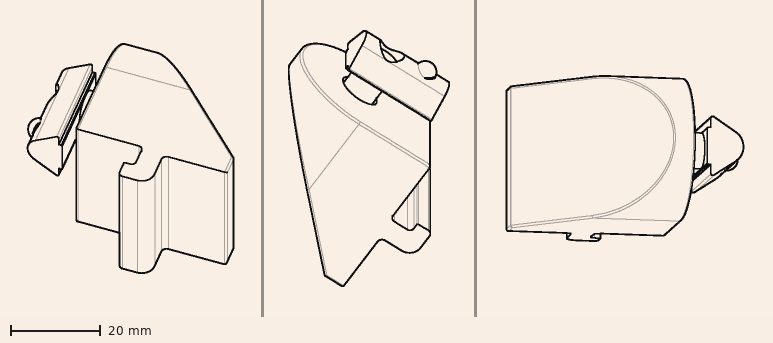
import cadquery as cq
import math


overall_length = 50.6
overall_width = 44.8
bracket_length = 36.0
bracket_height = 32.0
back_radius = bracket_height / 2
flat_top_length = 4.85
clamp_side_y = -19.2
outer_side_y = -20.05
edge_radius = 0.5
slope_end_y = back_radius - (bracket_length - flat_top_length)

hook_tip_x = 13.5
neck_start_x = 16.0
neck_end_x = 21.05
hook_ledge_y = -24.85
hook_bottom_y = back_radius - overall_width
hook_outer_radius = 3.05
hook_root_radius = 1.0
outer_root_radius = 1.2
hook_tip_radius = 1.0
hook_ledge_radius = 0.25
hook_root_overlap = 2.55

nut_front_x = -12.7
nut_shoulder_x = -5.25
nut_back_x = -4.45
nut_top_y = 6.95
nut_bottom_y = -15.5
nose_radius = 4.0
nose_half_angle = math.radians(56.6)
shoulder_tip_radius = 0.4
boss_half_height = 4.2
boss_chamfer = 0.2

ball_radius = 2.55
ball_x = bracket_length - overall_length + ball_radius
ball_y = -9.4

shank_diameter = 8.0
tip_diameter = 6.65
screw_tip_x = -10.0
clearance_diameter = 9.2
screw_seat_depth = 5.05


def x_cylinder(diameter, start_x, end_x):
    """A round bar on the screw axis."""
    return cq.Workplane("YZ").workplane(offset=start_x).circle(diameter / 2).extrude(end_x - start_x)


def make_wedge():
    half_height = bracket_height / 2
    plan = (
        cq.Workplane("XY").workplane(offset=-half_height)
        .moveTo(0, clamp_side_y)
        .lineTo(0, back_radius)
        .lineTo(flat_top_length, back_radius)
        .lineTo(bracket_length, slope_end_y)
        .lineTo(bracket_length, outer_side_y)
        .lineTo(neck_end_x, outer_side_y)
        .lineTo(neck_end_x, clamp_side_y)
        .close()
        .extrude(bracket_height)
    )
    round_back = (
        cq.Workplane("YZ")
        .moveTo(outer_side_y, -half_height)
        .lineTo(0, -half_height)
        .threePointArc((back_radius, 0), (0, half_height))
        .lineTo(outer_side_y, half_height)
        .close()
        .extrude(bracket_length)
    )
    wedge = plan.intersect(round_back)
    slope_direction = cq.Vector(1, 1, 0)
    return (
        wedge.faces("<X or >X").edges()
        .add(wedge.faces(cq.selectors.DirectionMinMaxSelector(slope_direction, True)).edges())
        .fillet(edge_radius)
    )


def make_hook():
    hook = (
        cq.Workplane("XY").workplane(offset=-bracket_height / 2)
        .moveTo(neck_start_x, clamp_side_y + hook_root_overlap)
        .lineTo(neck_start_x, hook_ledge_y)
        .lineTo(hook_tip_x, hook_ledge_y)
        .lineTo(hook_tip_x, hook_bottom_y)
        .lineTo(neck_end_x, hook_bottom_y)
        .lineTo(neck_end_x, clamp_side_y + hook_root_overlap)
        .close()
        .extrude(bracket_height)
    )
    rounded_corners = [
        (neck_end_x, hook_bottom_y, hook_outer_radius),
        (hook_tip_x, hook_bottom_y, hook_tip_radius),
        (hook_tip_x, hook_ledge_y, hook_ledge_radius),
        (neck_start_x, hook_ledge_y, hook_root_radius),
    ]
    for x, y, radius in rounded_corners:
        hook = hook.edges(cq.NearestToPointSelector((x, y, 0))).fillet(radius)
    return hook


def make_bracket():
    bracket = make_wedge().union(make_hook())
    root_corners = [
        (neck_start_x, clamp_side_y, hook_root_radius),
        (neck_end_x, outer_side_y, outer_root_radius),
    ]
    for x, y, radius in root_corners:
        bracket = bracket.edges(cq.NearestToPointSelector((x, y, 0))).fillet(radius)
    return bracket.cut(x_cylinder(clearance_diameter, 0, screw_seat_depth))


def make_slot_nut():
    flank_x = nut_front_x + nose_radius * (1 - math.cos(nose_half_angle))
    flank_z = nose_radius * math.sin(nose_half_angle)
    shoulder_z = flank_z + (nut_shoulder_x - flank_x) / math.tan(nose_half_angle)
    nut = (
        cq.Workplane("XZ", origin=(0, nut_top_y, 0))
        .moveTo(flank_x, -flank_z)
        .threePointArc((nut_front_x, 0), (flank_x, flank_z))
        .lineTo(nut_shoulder_x, shoulder_z)
        .lineTo(nut_shoulder_x, boss_half_height)
        .lineTo(nut_back_x - boss_chamfer, boss_half_height)
        .lineTo(nut_back_x, boss_half_height - boss_chamfer)
        .lineTo(nut_back_x, boss_chamfer - boss_half_height)
        .lineTo(nut_back_x - boss_chamfer, -boss_half_height)
        .lineTo(nut_shoulder_x, -boss_half_height)
        .lineTo(nut_shoulder_x, -shoulder_z)
        .close()
        .extrude(nut_top_y - nut_bottom_y)
    )
    nut = nut.edges("|Y and (>Z or <Z)").fillet(shoulder_tip_radius)
    ball = cq.Workplane("XY").sphere(ball_radius).translate((ball_x, ball_y, 0))
    return nut.union(ball).cut(x_cylinder(tip_diameter, nut_front_x, nut_back_x))


def make_screw():
    shank = x_cylinder(shank_diameter, nut_back_x, screw_seat_depth)
    tip = x_cylinder(tip_diameter, screw_tip_x, nut_back_x)
    return shank.union(tip)


bracket = make_bracket()
slot_nut = make_slot_nut()
screw = make_screw()

result = cq.Compound.makeCompound([bracket.val(), slot_nut.val(), screw.val()])